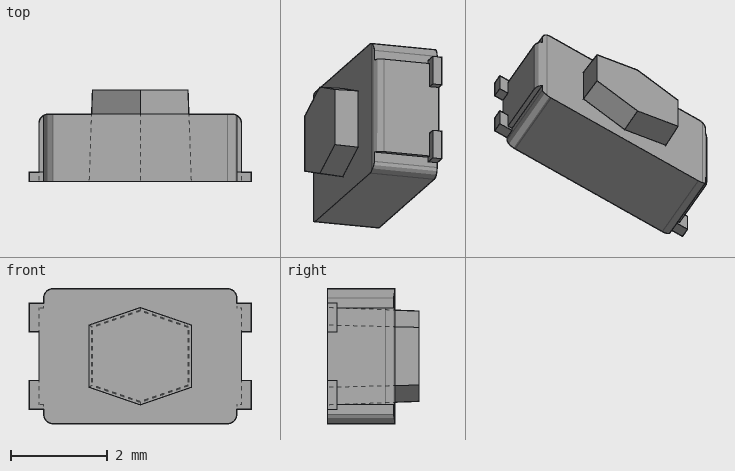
import cadquery as cq

body_width = 4.0
body_height = 2.8
body_depth = 1.4
round_radius = 0.2

flat_span = 4.2
flat_height = 2.0

tab_span = 4.6
tab_thickness = 0.2
tab_height = 0.6
tab_center_z = 0.8

plunger_length = 1.9
plunger_draft = 2.0
plunger_half_width = 1.06
plunger_half_height = 1.007
plunger_shoulder_z = 0.645


def box_on_face(width, depth, height, center_z=0):
    """Box centred in X with its front side on the mounting face."""
    box = cq.Workplane("XY").box(width, depth, height)
    return box.translate((0, depth / 2, center_z))


def make_plunger():
    """Hexagonal plunger, widest at the mounting face."""
    base_plane = cq.Plane(origin=(0, 0, 0), xDir=(-1, 0, 0), normal=(0, 1, 0))
    hexagon = [
        (0, plunger_half_height),
        (-plunger_half_width, plunger_shoulder_z),
        (-plunger_half_width, -plunger_shoulder_z),
        (0, -plunger_half_height),
        (plunger_half_width, -plunger_shoulder_z),
        (plunger_half_width, plunger_shoulder_z),
    ]
    outline = cq.Workplane(base_plane).polyline(hexagon).close()
    return outline.extrude(plunger_length, taper=plunger_draft)


def make_housing(plunger):
    """Rounded case with end flats, four solder tabs and a fitted plunger hole."""
    body = box_on_face(body_width, body_depth, body_height).edges("|Y").fillet(round_radius)
    flats = box_on_face(flat_span, body_depth, flat_height)

    envelope = box_on_face(flat_span, body_depth, body_height)
    envelope = envelope.edges("|Z and >Y").fillet(round_radius)
    housing = body.union(flats).intersect(envelope)

    for side in (-1, 1):
        tabs = box_on_face(tab_span, tab_thickness, tab_height, side * tab_center_z)
        housing = housing.union(tabs)
    return housing.cut(plunger)


plunger = make_plunger()
housing = make_housing(plunger)

result = cq.Compound.makeCompound([housing.val(), plunger.val()])